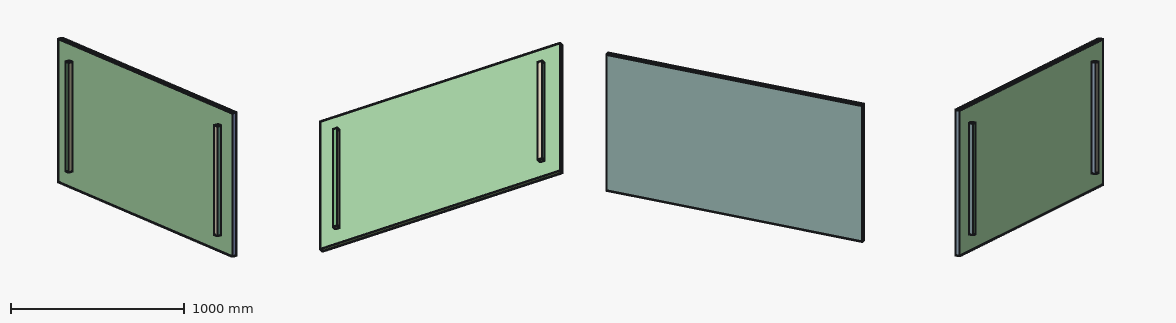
import cadquery as cq

panel_length = 1611.0
panel_height = 878.0
overall_depth = 58.0

batten_width = 29.0
batten_depth = batten_width
batten_inset = 103.0

panel_thickness = overall_depth - batten_depth
batten_height = panel_height - 2 * batten_inset
batten_offset = panel_length / 2 - batten_inset - batten_width / 2


def make_panel():
    """Flat panel with its -Y face on the plane Y = 0."""
    return cq.Workplane("XY").box(
        panel_length, panel_thickness, panel_height, centered=(True, False, True)
    )


def make_batten(x_center):
    """Square-edged batten standing out from the panel toward -Y."""
    return (
        cq.Workplane("XY")
        .box(batten_width, batten_depth, batten_height)
        .translate((x_center, -batten_depth / 2, 0))
    )


result = make_panel()
for side in (-1, 1):
    result = result.union(make_batten(side * batten_offset))